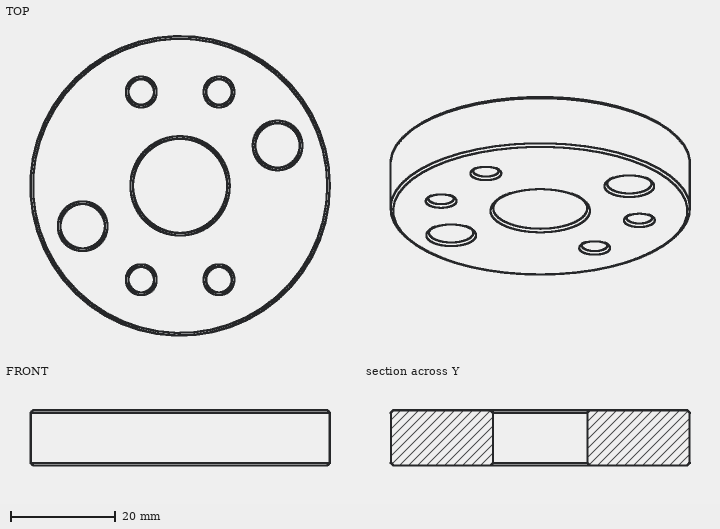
import cadquery as cq

disc_diameter = 57.35
disc_thickness = 10.6
edge_chamfer = 0.5

bore_diameter = 18.0
large_hole_diameter = 8.5
large_hole_radius = 20.2
large_hole_angle = 22.5
small_hole_diameter = 4.9
small_hole_radius = 19.45
small_hole_angle = 67.5


def make_disc():
    """Plain round disc standing on the XY plane."""
    return cq.Workplane("XY").circle(disc_diameter / 2).extrude(disc_thickness)


def hole_cutter(diameter, radius=0, angle=0):
    """Through-hole cylinder at a polar position about the disc axis."""
    return (
        cq.Workplane("XY")
        .transformed(rotate=(0, 0, angle))
        .center(radius, 0)
        .circle(diameter / 2)
        .extrude(disc_thickness)
    )


body = make_disc().cut(hole_cutter(bore_diameter))

for angle in (large_hole_angle, large_hole_angle + 180):
    body = body.cut(hole_cutter(large_hole_diameter, large_hole_radius, angle))

for angle in (small_hole_angle, 180 - small_hole_angle):
    for half_turn in (0, 180):
        body = body.cut(hole_cutter(small_hole_diameter, small_hole_radius, angle + half_turn))

result = body.faces("<Z or >Z").edges().chamfer(edge_chamfer)